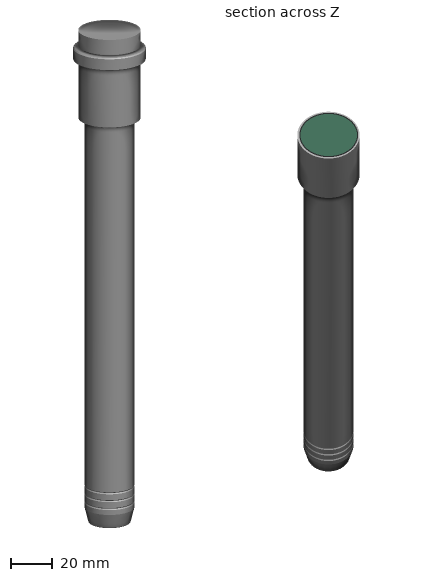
import cadquery as cq
import math

total_length = 250.0
shank_radius = 12.0
head_radius = 15.0
head_length = 44.5

collar_radius = 17.5
collar_top_offset = 8.5
collar_height = 6.5
collar_chamfer = 0.5
seat_depth = 1.0
seat_gap = 0.8

relief_depth = 1.0
relief_height = 1.5

taper_height = 7.5
taper_angle = 14.0
tip_fillet = 0.8

groove_count = 3
groove_pitch = 4.0
first_groove_center = 10.5
groove_width = 1.0
groove_depth = 0.5


def make_cylinder(radius, bottom, height):
    return cq.Workplane("XY").workplane(offset=bottom).circle(radius).extrude(height)


def make_shank():
    """Shank with its lead-in taper and the relief below the head."""
    head_bottom = total_length - head_length
    tip_radius = shank_radius - taper_height * math.tan(math.radians(taper_angle))
    shank = (
        cq.Workplane("XZ")
        .lineTo(tip_radius, 0)
        .lineTo(shank_radius, taper_height)
        .lineTo(shank_radius, head_bottom - relief_height)
        .lineTo(shank_radius - relief_depth, head_bottom - relief_height)
        .lineTo(shank_radius - relief_depth, head_bottom)
        .lineTo(0, head_bottom)
        .close()
        .revolve(360, (0, 0), (0, 1))
    )
    return shank.faces("<Z").edges().fillet(tip_fillet)


def make_head():
    """Head with a shallow seat cut around it, and the narrower collar set in the seat."""
    head = make_cylinder(head_radius, total_length - head_length, head_length)
    collar_bottom = total_length - collar_top_offset - collar_height
    collar = make_cylinder(collar_radius, collar_bottom, collar_height)
    collar = collar.faces("<Z or >Z").edges().chamfer(collar_chamfer)
    seat_bottom = collar_bottom - seat_gap
    seat_height = collar_height + 2 * seat_gap
    seat = make_cylinder(collar_radius, seat_bottom, seat_height)
    seat = seat.cut(make_cylinder(head_radius - seat_depth, seat_bottom, seat_height))
    return head.cut(seat).union(collar)


def make_groove(center):
    """Ring with a V section that narrows to the groove bottom."""
    half_width = groove_width / 2
    return (
        cq.Workplane("XZ")
        .moveTo(shank_radius - groove_depth, center)
        .lineTo(shank_radius, center - half_width)
        .lineTo(shank_radius, center + half_width)
        .close()
        .revolve(360, (0, 0), (0, 1))
    )


result = make_shank().union(make_head())
for index in range(groove_count):
    result = result.cut(make_groove(first_groove_center + index * groove_pitch))